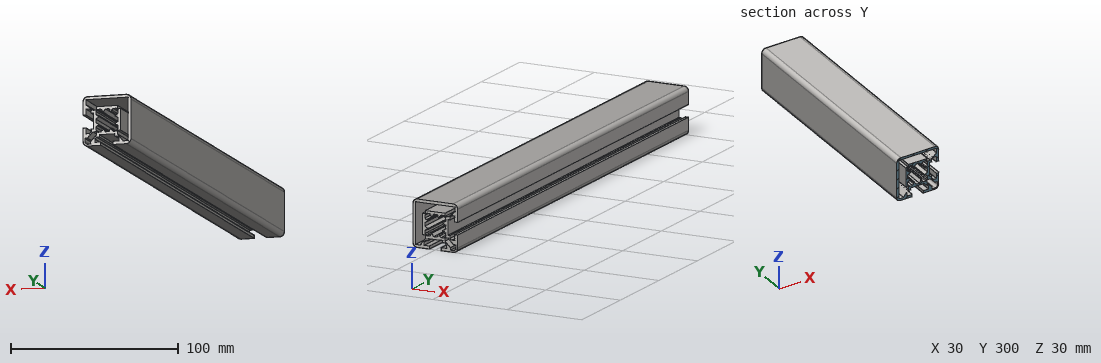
import cadquery as cq


length = 300.0
side = 30.0
corner_radius = 3.0
wall = 1.8

bore_half = 7.0
core_wall = 1.65
core_notch = 6.5
bore_chamfer = 1.2

tooth_height = 1.95
tooth_foot_near = 1.05
tooth_foot_far = 4.0
tooth_tip_near = 2.5
tooth_tip_far = 3.0

slot_opening = 7.8
lip_thickness = 1.95
slot_cavity_half = 7.5
shoulder_top = 10.0
shoulder_half = 4.8

web_core_end = 8.7
web_wall_end = 10.2
web_slot_start = 6.5
web_slot_end = 11.0

thin_wall = 1.2
chamber_start = 10.2
chamber_web_end = 12.3

half = side / 2
wall_inside = half - wall
core_half = bore_half + core_wall
lip_inside = half - lip_thickness


def prism(outline):
    """Extrude a closed (x, z) outline along the full length."""
    return cq.Workplane("XZ").polyline(outline).close().extrude(length / 2, both=True)


def across_diagonal(outline):
    """Mirror (x, z) points about the diagonal of symmetry."""
    return [(-z, -x) for x, z in reversed(outline)]


def slot():
    """T-slot open to +X."""
    upper = [
        (core_half, shoulder_half),
        (shoulder_top, shoulder_half),
        (shoulder_top, web_slot_start),
        (web_slot_end, slot_cavity_half),
        (lip_inside, slot_cavity_half),
        (lip_inside, slot_opening / 2),
        (half, slot_opening / 2),
    ]
    lower = [(x, -z) for x, z in reversed(upper)]
    return prism(upper + lower)


def closed_side_cavity():
    """L-shaped cavity behind the two closed sides."""
    upper = [
        (-wall_inside, wall_inside),
        (wall_inside, wall_inside),
        (wall_inside, web_wall_end),
        (web_core_end, core_notch),
        (core_notch, core_notch),
        (core_notch, core_half),
        (-core_notch, core_half),
        (-core_notch, core_notch),
    ]
    return prism(upper + across_diagonal(upper[1:-1]))


def corner_chamber():
    """Hollow in the corner between the slots, rounded along the outer corner."""
    outer = half - thin_wall
    upper = [
        (core_notch, -core_notch),
        (web_core_end, -core_notch),
        (chamber_web_end, -chamber_start),
        (outer, -chamber_start),
        (outer, -outer),
    ]
    chamber = prism(upper + across_diagonal(upper[1:-1]))
    return chamber.edges("|Y and >X and <Z").fillet(corner_radius - thin_wall)


def tooth(sign):
    """Tooth on the +X wall of the bore, above (1) or below (-1) the centre."""
    tip = bore_half - tooth_height
    return prism([
        (bore_half, sign * tooth_foot_near),
        (tip, sign * tooth_tip_near),
        (tip, sign * tooth_tip_far),
        (bore_half - tooth_height / 2, sign * tooth_tip_far),
        (bore_half, sign * tooth_foot_far),
    ])


def bore():
    """Square bore with chamfered corners, less its eight teeth."""
    void = cq.Workplane("XY").box(2 * bore_half, length, 2 * bore_half)
    void = void.edges("|Y").chamfer(bore_chamfer)
    for angle in range(0, 360, 90):
        for sign in (1, -1):
            void = void.cut(tooth(sign).rotate((0, 0, 0), (0, 1, 0), angle))
    return void


body = cq.Workplane("XY").box(side, length, side).edges("|Y").fillet(corner_radius)
right_slot = slot()
bottom_slot = right_slot.rotate((0, 0, 0), (0, 1, 0), 90)

result = body
for void in (right_slot, bottom_slot, closed_side_cavity(), corner_chamber(), bore()):
    result = result.cut(void)